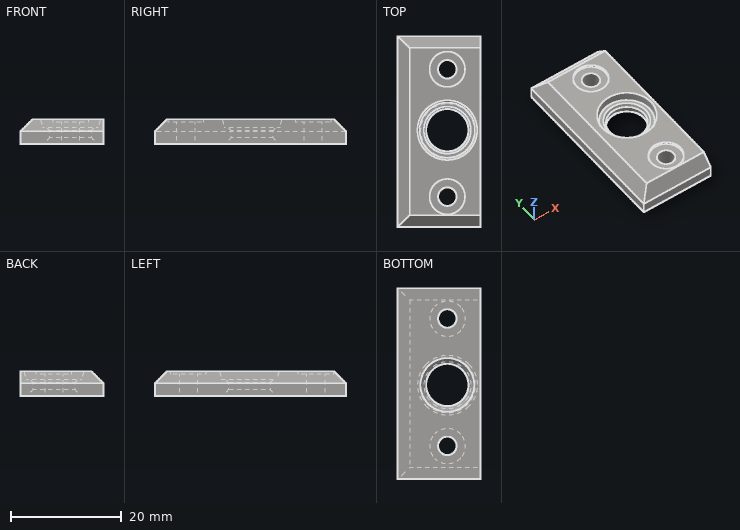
import cadquery as cq

length_x = 15.0
length_y = 34.5
thickness = 4.5
side_bevel = 2.2
end_bevel = 2.15
bevel_height = 2.2

hole_line_x = 9.0
near_screw_from_end = 5.5
seat_from_end = 17.5
far_screw_from_end = 28.5

screw_diameter = 3.3
recess_diameter = 6.4
recess_depth = 0.5

socket_top_diameter = 10.8
socket_floor_diameter = 10.0
socket_depth = 1.5
throat_top_diameter = 8.5
throat_depth = 0.55
bore_diameter = 7.6
flare_height = 1.2
flare_diameter = 9.7


def beveled_plate():
    """Plate with its -X, -Y and +Y top edges beveled; the +X side stays square."""
    base_height = thickness - bevel_height
    side_profile = [
        (0, 0),
        (length_x, 0),
        (length_x, thickness),
        (side_bevel, thickness),
        (0, base_height),
    ]
    end_profile = [
        (0, 0),
        (length_y, 0),
        (length_y, base_height),
        (length_y - end_bevel, thickness),
        (end_bevel, thickness),
        (0, base_height),
    ]
    along_y = cq.Workplane("XZ").polyline(side_profile).close().extrude(-length_y)
    along_x = cq.Workplane("YZ").polyline(end_profile).close().extrude(length_x)
    return along_y.intersect(along_x)


def screw_hole_cutter(distance_from_end):
    """Through hole with a shallow flat-bottomed recess at the top face."""
    hole = cq.Workplane("XY").circle(screw_diameter / 2).extrude(thickness)
    recess = (
        cq.Workplane("XY", origin=(0, 0, thickness - recess_depth))
        .circle(recess_diameter / 2)
        .extrude(recess_depth)
    )
    return hole.union(recess).translate((hole_line_x, distance_from_end, 0))


def central_seat_cutter():
    """Revolved shape of the stepped central opening."""
    shoulder_z = thickness - socket_depth
    throat_z = shoulder_z - throat_depth
    profile = [
        (0, 0),
        (flare_diameter / 2, 0),
        (bore_diameter / 2, flare_height),
        (bore_diameter / 2, throat_z),
        (throat_top_diameter / 2, shoulder_z),
        (socket_floor_diameter / 2, shoulder_z),
        (socket_top_diameter / 2, thickness),
        (0, thickness),
    ]
    seat = cq.Workplane("XZ").polyline(profile).close().revolve(360, (0, 0), (0, 1))
    return seat.translate((hole_line_x, seat_from_end, 0))


result = beveled_plate().cut(central_seat_cutter())
for screw_from_end in (near_screw_from_end, far_screw_from_end):
    result = result.cut(screw_hole_cutter(screw_from_end))